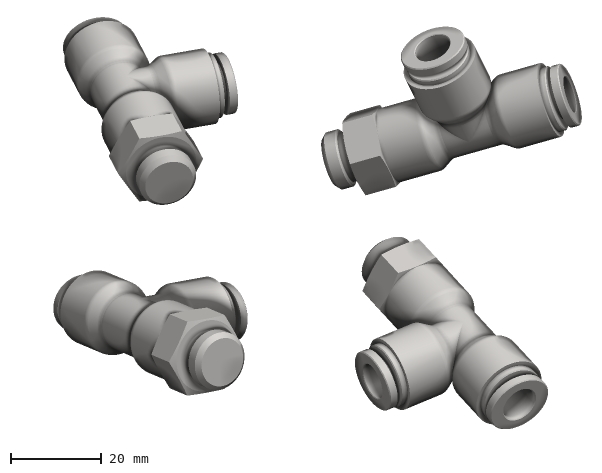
import cadquery as cq
import math


port_reach = 23.6
hub_diameter = 16.9
neck_diameter = 13.15
shoulder_start = 5.45
shoulder_end = 9.55
shoulder_rounding = 2.0
stud_side_reach = 18.9
bore_diameter = 8.2
tee_bore_depth = 9.6

flange_width = 15.05
flange_height = neck_diameter
flange_thickness = 1.9
collar_length = 3.0
stem_diameter = 9.6
edge_chamfer = 0.2
bore_chamfer = 0.15

retainer_diameter = 14.7
retainer_thickness = 1.5

hex_across_flats = 17.0
hex_across_corners = hex_across_flats / math.cos(math.radians(30))
hex_length = 8.0
hex_end_diameter = 16.2
hex_chamfer_angle = 15.0
relief_diameter = 11.2
relief_length = 2.1
relief_rounding = 0.45
thread_diameter = 13.15
spigot_length = 6.1
thread_inner_chamfer = 0.4
thread_end_chamfer = 1.1

hub_end = port_reach - collar_length - retainer_thickness


def turned(profile):
    """Revolve a closed (x, radius) profile about the X axis."""
    return profile.close().revolve(360, (0, 0, 0), (1, 0, 0))


def facing_minus_x(body):
    """Turn a port part built toward +X so that it sits on the -X port."""
    return body.rotate((0, 0, 0), (0, 0, 1), 180)


def facing_plus_y(body):
    """Turn a port part built toward +X so that it sits on the +Y port."""
    return body.rotate((0, 0, 0), (0, 0, 1), 90)


def tee_arm(reach):
    """Half neck, conical shoulder with rounded ends, and hub, from the origin toward +X."""
    hub_radius = hub_diameter / 2
    neck_radius = neck_diameter / 2
    rise = hub_radius - neck_radius
    width = shoulder_end - shoulder_start
    square_term = 4 * shoulder_rounding - rise
    half_tangent = (width - math.sqrt(width**2 - rise * square_term)) / square_term
    angle = 2 * math.atan(half_tangent)
    across = shoulder_rounding * math.sin(angle)
    sag = shoulder_rounding * (1 - math.cos(angle))
    mid_across = shoulder_rounding * math.sin(angle / 2)
    mid_sag = shoulder_rounding * (1 - math.cos(angle / 2))
    return turned(
        cq.Workplane("XY")
        .lineTo(reach, 0)
        .lineTo(reach, hub_radius)
        .lineTo(shoulder_end, hub_radius)
        .threePointArc(
            (shoulder_end - mid_across, hub_radius - mid_sag),
            (shoulder_end - across, hub_radius - sag),
        )
        .lineTo(shoulder_start + across, neck_radius + sag)
        .threePointArc(
            (shoulder_start + mid_across, neck_radius + mid_sag),
            (shoulder_start, neck_radius),
        )
        .lineTo(0, neck_radius)
    )


def port_bore():
    """Blind tube bore in the hub of one port."""
    floor = hub_end - tee_bore_depth
    return cq.Workplane("YZ", (floor, 0, 0)).circle(bore_diameter / 2).extrude(tee_bore_depth)


def make_tee():
    """Two push-in arms and the arm that carries the stud, with a bore in each push-in arm."""
    port_arm = tee_arm(hub_end)
    tee = tee_arm(stud_side_reach).union(facing_minus_x(port_arm)).union(facing_plus_y(port_arm))
    return tee.cut(facing_minus_x(port_bore())).cut(facing_plus_y(port_bore()))


def make_retainer():
    """Ring seated on the hub's end face, with its outer front edge chamfered."""
    seat = cq.Workplane("YZ", (hub_end, 0, 0))
    ring = seat.circle(retainer_diameter / 2).extrude(retainer_thickness)
    bore = seat.circle(bore_diameter / 2).extrude(retainer_thickness)
    return ring.faces(">X").chamfer(edge_chamfer).cut(bore)


def make_collar():
    """Oval flange with chamfered front edges, on a round stem that meets the retainer."""
    flange = (
        cq.Workplane("YZ", (port_reach - flange_thickness, 0, 0))
        .ellipse(flange_width / 2, flange_height / 2)
        .extrude(flange_thickness)
        .faces(">X")
        .chamfer(edge_chamfer)
    )
    stem_end = cq.Workplane("YZ", (port_reach - collar_length, 0, 0))
    stem = stem_end.circle(stem_diameter / 2).extrude(collar_length - flange_thickness)
    bore = stem_end.circle(bore_diameter / 2).extrude(collar_length)
    collar = flange.union(stem).cut(bore)
    return collar.faces(">X").edges("%CIRCLE").chamfer(bore_chamfer)


def make_hexagon():
    """Hexagon with corners toward +Y and -Y, its corners chamfered at both ends."""
    prism = (
        cq.Workplane("YZ", (stud_side_reach, 0, 0)).polygon(6, hex_across_corners).extrude(hex_length)
    )
    end_radius = hex_end_diameter / 2
    corner_radius = hex_across_corners / 2
    setback = (corner_radius - end_radius) * math.tan(math.radians(hex_chamfer_angle))
    hex_end = stud_side_reach + hex_length
    envelope = turned(
        cq.Workplane("XY")
        .moveTo(stud_side_reach, 0)
        .lineTo(stud_side_reach, end_radius)
        .lineTo(stud_side_reach + setback, corner_radius)
        .lineTo(hex_end - setback, corner_radius)
        .lineTo(hex_end, end_radius)
        .lineTo(hex_end, 0)
    )
    return prism.intersect(envelope)


def make_stud():
    """Hexagon that meets the tee, with a relieved thread beyond it."""
    hex_end = stud_side_reach + hex_length
    relief_radius = relief_diameter / 2
    thread_radius = thread_diameter / 2
    thread_start = hex_end + relief_length
    thread_end = hex_end + spigot_length
    bend = relief_rounding * (1 - math.sqrt(0.5))
    spigot = turned(
        cq.Workplane("XY")
        .moveTo(hex_end, 0)
        .lineTo(hex_end, relief_radius + relief_rounding)
        .threePointArc(
            (hex_end + bend, relief_radius + bend),
            (hex_end + relief_rounding, relief_radius),
        )
        .lineTo(thread_start, relief_radius)
        .lineTo(thread_start, thread_radius - thread_inner_chamfer)
        .lineTo(thread_start + thread_inner_chamfer, thread_radius)
        .lineTo(thread_end - thread_end_chamfer, thread_radius)
        .lineTo(thread_end, thread_radius - thread_end_chamfer)
        .lineTo(thread_end, 0)
    )
    return make_hexagon().union(spigot)


tee = make_tee()
stud = make_stud()
port_parts = []
for place_on_port in (facing_minus_x, facing_plus_y):
    for make_part in (make_retainer, make_collar):
        port_parts.append(place_on_port(make_part()).val())

result = cq.Compound.makeCompound([tee.val(), stud.val(), *port_parts])